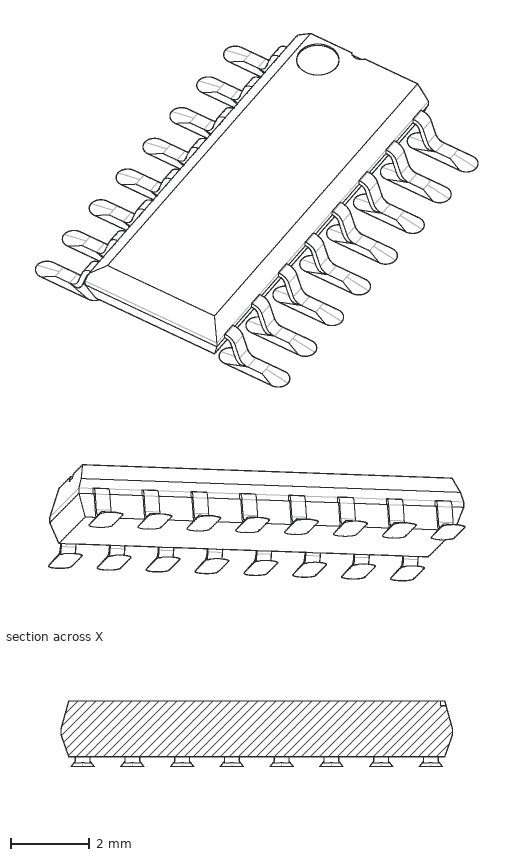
import math

import cadquery as cq

BODY_WIDTH = 4.0
BODY_LENGTH = 10.0
TAPER_INSET = 0.2
BODY_BOTTOM = 0.25
BODY_TOP = 1.68

BEVEL_START_Z = 1.22
BEVEL_TOP_X = -1.445

DIMPLE_CENTER = (-0.80, 4.13)
DIMPLE_RADIUS = 0.54
DIMPLE_DEPTH = 0.05
NOTCH_CENTER_Y = 4.92
NOTCH_RADIUS = 0.23
NOTCH_DEPTH = 0.12

PINS_PER_SIDE = 8
PIN_PITCH = 1.27
LEAD_WIDTH = 0.38
LEAD_THICKNESS = 0.14
LEAD_TOP = 0.96
LEAD_SLANT = math.radians(18)
UPPER_BEND_RADIUS = 0.16
LOWER_BEND_RADIUS = 0.26
FOOT_LENGTH = 0.43
LEAD_STUB = 0.03
LEAD_EMBED = 0.5

SOLDER_SPAN = 7.61
SOLDER_LENGTH = 2.04
SOLDER_WIDTH = 0.6

BAND_BOTTOM = LEAD_TOP - LEAD_THICKNESS
HALF_WIDTH = BODY_WIDTH / 2


def tapered_block(start_z, end_z):
    """Block with the full body outline at start_z and the inset outline at end_z."""
    return (
        cq.Workplane("XY", origin=(0, 0, start_z))
        .rect(BODY_WIDTH, BODY_LENGTH)
        .workplane(offset=end_z - start_z)
        .rect(BODY_WIDTH - 2 * TAPER_INSET, BODY_LENGTH - 2 * TAPER_INSET)
        .loft(ruled=True)
    )


def bevel_cutter():
    """Wedge that removes the upper -X edge of the body."""
    rise = BODY_TOP - LEAD_TOP
    start_x = -HALF_WIDTH + TAPER_INSET * (BEVEL_START_Z - LEAD_TOP) / rise
    slope = (BODY_TOP - BEVEL_START_Z) / (BEVEL_TOP_X - start_x)
    outer_x = -BODY_WIDTH
    outer_z = BEVEL_START_Z + slope * (outer_x - start_x)
    above_x = BODY_WIDTH
    above_z = BEVEL_START_Z + slope * (above_x - start_x)
    return (
        cq.Workplane("XZ")
        .polyline([(outer_x, outer_z), (above_x, above_z), (outer_x, above_z)])
        .close()
        .extrude(BODY_LENGTH, both=True)
    )


def top_pocket(center, radius, depth):
    """Round cutter reaching the given depth below the top face."""
    return cq.Workplane("XY", origin=(*center, BODY_TOP - depth)).circle(radius).extrude(2 * depth)


def make_body():
    band = (
        cq.Workplane("XY", origin=(0, 0, BAND_BOTTOM))
        .rect(BODY_WIDTH, BODY_LENGTH)
        .extrude(LEAD_THICKNESS)
    )
    body = band.union(tapered_block(LEAD_TOP, BODY_TOP)).union(tapered_block(BAND_BOTTOM, BODY_BOTTOM))
    body = body.cut(bevel_cutter())
    body = body.cut(top_pocket(DIMPLE_CENTER, DIMPLE_RADIUS, DIMPLE_DEPTH))
    return body.cut(top_pocket((0, NOTCH_CENTER_Y), NOTCH_RADIUS, NOTCH_DEPTH))


BEND_ANGLE = math.pi / 2 - LEAD_SLANT
UPPER_OUTER = UPPER_BEND_RADIUS + LEAD_THICKNESS
LOWER_OUTER = LOWER_BEND_RADIUS + LEAD_THICKNESS
UPPER_CENTER = (-HALF_WIDTH - LEAD_STUB, LEAD_TOP - UPPER_OUTER)
NORMAL_GAP = UPPER_OUTER + LOWER_BEND_RADIUS
SHANK_LENGTH = (
    UPPER_CENTER[1] - LOWER_OUTER + NORMAL_GAP * math.sin(LEAD_SLANT)
) / math.cos(LEAD_SLANT)
LOWER_CENTER = (
    UPPER_CENTER[0] - NORMAL_GAP * math.cos(LEAD_SLANT) - SHANK_LENGTH * math.sin(LEAD_SLANT),
    LOWER_OUTER,
)
FOOT_TIP_X = LOWER_CENTER[0] - FOOT_LENGTH


def upper_point(radius, turn):
    """Point on the shoulder bend, turned from the vertical toward -X."""
    return (UPPER_CENTER[0] - radius * math.sin(turn), UPPER_CENTER[1] + radius * math.cos(turn))


def lower_point(radius, turn):
    """Point on the foot bend, turned from straight down toward +X."""
    return (LOWER_CENTER[0] + radius * math.sin(turn), LOWER_CENTER[1] - radius * math.cos(turn))


def make_lead():
    """One bent lead on the -X side, centred on Y = 0."""
    half_bend = BEND_ANGLE / 2
    root_x = -HALF_WIDTH + LEAD_EMBED
    return (
        cq.Workplane("XZ")
        .moveTo(root_x, LEAD_TOP)
        .lineTo(*upper_point(UPPER_OUTER, 0))
        .threePointArc(upper_point(UPPER_OUTER, half_bend), upper_point(UPPER_OUTER, BEND_ANGLE))
        .lineTo(*lower_point(LOWER_BEND_RADIUS, BEND_ANGLE))
        .threePointArc(lower_point(LOWER_BEND_RADIUS, half_bend), lower_point(LOWER_BEND_RADIUS, 0))
        .lineTo(FOOT_TIP_X, LEAD_THICKNESS)
        .lineTo(FOOT_TIP_X, 0)
        .lineTo(*lower_point(LOWER_OUTER, 0))
        .threePointArc(lower_point(LOWER_OUTER, half_bend), lower_point(LOWER_OUTER, BEND_ANGLE))
        .lineTo(*upper_point(UPPER_BEND_RADIUS, BEND_ANGLE))
        .threePointArc(upper_point(UPPER_BEND_RADIUS, half_bend), upper_point(UPPER_BEND_RADIUS, 0))
        .lineTo(root_x, BAND_BOTTOM)
        .close()
        .extrude(LEAD_WIDTH / 2, both=True)
    )


def make_solder():
    """Solder fillet on the -X side: each end splits at a ridge on the lead centreline."""
    radius = SOLDER_WIDTH / 2
    diagonal = radius * math.cos(math.pi / 4)
    center_x = (SOLDER_LENGTH - SOLDER_SPAN) / 2
    arc_x = SOLDER_LENGTH / 2 - radius
    base = (
        cq.Workplane("XY", origin=(center_x, 0, 0))
        .moveTo(-arc_x, -radius)
        .lineTo(arc_x, -radius)
        .threePointArc((arc_x + diagonal, -diagonal), (arc_x + radius, 0))
        .threePointArc((arc_x + diagonal, diagonal), (arc_x, radius))
        .lineTo(-arc_x, radius)
        .threePointArc((-arc_x - diagonal, diagonal), (-arc_x - radius, 0))
        .threePointArc((-arc_x - diagonal, -diagonal), (-arc_x, -radius))
        .close()
    )
    heel_x = LOWER_CENTER[0]
    top_y = LEAD_WIDTH / 2
    top_points = [
        (FOOT_TIP_X, -top_y),
        (heel_x, -top_y),
        (heel_x, 0),
        (heel_x, top_y),
        (FOOT_TIP_X, top_y),
        (FOOT_TIP_X, 0),
    ]
    top = cq.Workplane("XY", origin=(0, 0, LEAD_THICKNESS)).polyline(top_points).close()
    return cq.Workplane(cq.Solid.makeLoft([base.val(), top.val()], True))


def make_pins():
    """Both rows of soldered leads."""
    left_pin = make_lead().union(make_solder())
    right_pin = left_pin.mirror("YZ")
    first_y = -PIN_PITCH * (PINS_PER_SIDE - 1) / 2
    pins = []
    for index in range(PINS_PER_SIDE):
        shift = (0, first_y + index * PIN_PITCH, 0)
        pins.append(left_pin.translate(shift))
        pins.append(right_pin.translate(shift))
    return pins


result = make_body()
for pin in make_pins():
    result = result.union(pin)